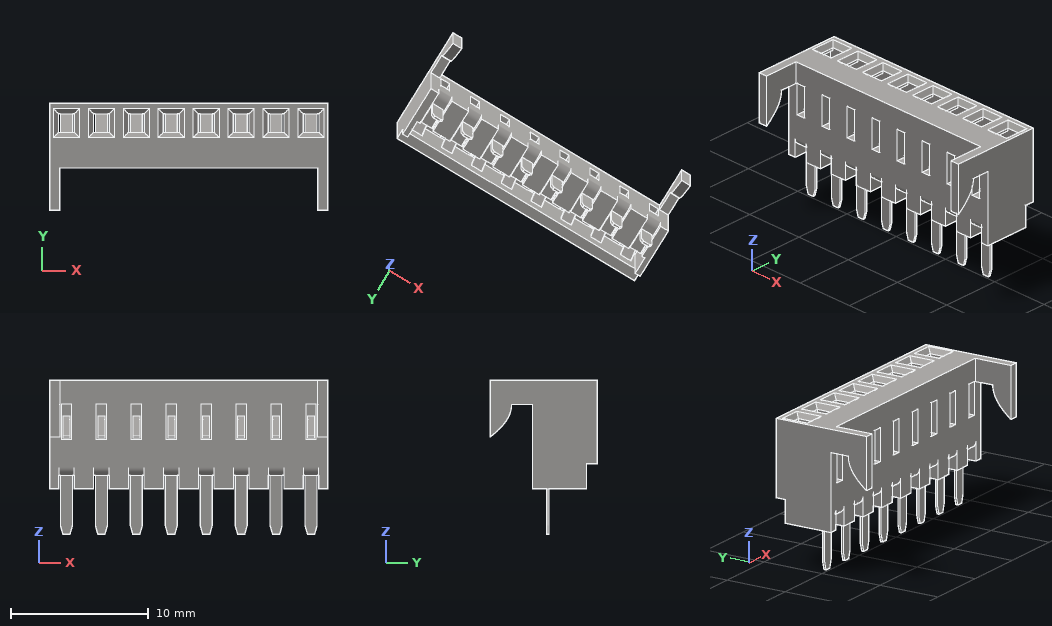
import cadquery as cq
import math

LENGTH = 20.22
BODY_DEPTH = 4.73
BODY_HEIGHT = 7.9
OVERALL_DEPTH = 7.8
OVERALL_HEIGHT = 11.22

STEP_DEPTH = 0.79
STEP_TOP_Z = -6.09

ARM_THICKNESS = 0.75
ARM_HEIGHT = 1.78
HOOK_START_Y = -6.23
HOOK_TIP_Z = -4.15

POSITIONS = 8
PITCH = 2.54

THROAT_WIDTH = 1.13
THROAT_DEPTH = 1.33
CHANNEL_REAR_Y = -STEP_DEPTH
LEAD_IN_OFFSET = 0.38
LEAD_IN_DEPTH = 0.38
CHANNEL_TOP_Z = -0.59
END_WALL = 0.42

WINDOW_WIDTH = 0.75
WINDOW_TOP_Z = -1.74
WINDOW_BOTTOM_Z = -4.33

NOTCH_WIDTH = 1.11
NOTCH_TOP_Z = -6.94
NOTCH_LIP_RADIUS = 0.55

SHEET = 0.18
CONTACT_WIDTH = 0.89
PIN_REAR_Y = -3.52
PIN_TIP_WIDTH = 0.53
PIN_TAPER_LENGTH = 0.65
PLATE_REAR_Y = CHANNEL_REAR_Y - THROAT_DEPTH
PLATE_FRONT_Y = PLATE_REAR_Y - SHEET
LEAF_TOP_Z = -1.01
LEAF_SLOPE = 62.6
LEAF_TIP_SLOPE = 67.2
LEAF_BEND_Y = -0.9
TANG_WIDTH = 0.5
TANG_TOP_Z = -2.63
TANG_DROP = 1.45
TANG_SLOPE = 38.5

CONTACT_X = [(i - (POSITIONS - 1) / 2) * PITCH for i in range(POSITIONS)]


def block(x_center, width, y_rear, y_front, z_bottom, z_top):
    """Axis-aligned box, centred in x on x_center."""
    return cq.Workplane("XY").box(
        width, y_rear - y_front, z_top - z_bottom, centered=(True, False, False)
    ).translate((x_center, y_front, z_bottom))


def make_arm(x_start):
    """Arm reaching forward, ending in a hook whose inner side is a parabola."""
    curve_start = (HOOK_START_Y, -ARM_HEIGHT)
    curve_control = (HOOK_START_Y, -(ARM_HEIGHT - HOOK_TIP_Z) / 2)
    curve_end = (-OVERALL_DEPTH, HOOK_TIP_Z)
    return (
        cq.Workplane("YZ", origin=(x_start, 0, 0))
        .moveTo(-BODY_DEPTH, 0)
        .lineTo(-BODY_DEPTH, -ARM_HEIGHT)
        .lineTo(*curve_start)
        .bezier([curve_start, curve_control, curve_end])
        .lineTo(-OVERALL_DEPTH, 0)
        .close()
        .extrude(ARM_THICKNESS)
    )


def make_entry(x):
    """Contact opening: a four-sided funnel above a short straight throat."""
    y_center = CHANNEL_REAR_Y - THROAT_DEPTH / 2
    throat = block(x, THROAT_WIDTH, CHANNEL_REAR_Y, PLATE_REAR_Y, CHANNEL_TOP_Z, 0)
    funnel = (
        cq.Workplane("XY", origin=(x, y_center, 0))
        .rect(THROAT_WIDTH + 2 * LEAD_IN_OFFSET, THROAT_DEPTH + 2 * LEAD_IN_OFFSET)
        .workplane(offset=-LEAD_IN_DEPTH)
        .rect(THROAT_WIDTH, THROAT_DEPTH)
        .loft(ruled=True)
    )
    return throat.union(funnel)


def make_window(x):
    """Front window, running back to the contact plate."""
    return block(x, WINDOW_WIDTH, PLATE_FRONT_Y, -BODY_DEPTH, WINDOW_BOTTOM_Z, WINDOW_TOP_Z)


def make_notch(x):
    """Bottom notch through the full depth, flaring up in a round lip at the front."""
    r = NOTCH_LIP_RADIUS
    diagonal = r * math.sqrt(0.5)
    return (
        cq.Workplane("YZ", origin=(x - NOTCH_WIDTH / 2, 0, 0))
        .moveTo(0, -BODY_HEIGHT)
        .lineTo(0, NOTCH_TOP_Z)
        .lineTo(r - BODY_DEPTH, NOTCH_TOP_Z)
        .threePointArc(
            (r - BODY_DEPTH - diagonal, NOTCH_TOP_Z + r - diagonal),
            (-BODY_DEPTH, NOTCH_TOP_Z + r),
        )
        .lineTo(-BODY_DEPTH, -BODY_HEIGHT)
        .close()
        .extrude(NOTCH_WIDTH)
    )


def make_strip(x):
    """Bent strip: horizontal foot, upright plate and spring leaf folded down to the rear wall."""
    leaf_drop = (LEAF_BEND_Y - PLATE_REAR_Y) * math.tan(math.radians(LEAF_SLOPE))
    tip_drop = (CHANNEL_REAR_Y - LEAF_BEND_Y) * math.tan(math.radians(LEAF_TIP_SLOPE))
    bend_z = LEAF_TOP_Z - leaf_drop
    tip_z = bend_z - tip_drop
    leaf_height = SHEET / math.cos(math.radians(LEAF_SLOPE))
    return (
        cq.Workplane("YZ", origin=(x - CONTACT_WIDTH / 2, 0, 0))
        .polyline([
            (PIN_REAR_Y, NOTCH_TOP_Z),
            (PLATE_FRONT_Y, NOTCH_TOP_Z),
            (PLATE_FRONT_Y, LEAF_TOP_Z),
            (PLATE_REAR_Y, LEAF_TOP_Z),
            (LEAF_BEND_Y, bend_z),
            (CHANNEL_REAR_Y, tip_z),
            (CHANNEL_REAR_Y, tip_z - leaf_height),
            (LEAF_BEND_Y, bend_z - leaf_height),
            (PLATE_REAR_Y, LEAF_TOP_Z - leaf_height),
            (PLATE_REAR_Y, NOTCH_TOP_Z - SHEET),
            (PIN_REAR_Y, NOTCH_TOP_Z - SHEET),
        ])
        .close()
        .extrude(CONTACT_WIDTH)
    )


def make_tang(x):
    """Locking tang: a slope from the plate down and forward to a square-cut tip."""
    slope = math.radians(TANG_SLOPE)
    tip_y = PLATE_FRONT_Y - TANG_DROP / math.tan(slope)
    tip_z = TANG_TOP_Z - TANG_DROP
    return (
        cq.Workplane("YZ", origin=(x - TANG_WIDTH / 2, 0, 0))
        .moveTo(PLATE_FRONT_Y, TANG_TOP_Z)
        .lineTo(tip_y, tip_z)
        .lineTo(tip_y + SHEET * math.sin(slope), tip_z - SHEET * math.cos(slope))
        .lineTo(PLATE_FRONT_Y, TANG_TOP_Z - SHEET / math.cos(slope))
        .close()
        .extrude(TANG_WIDTH)
    )


def make_pin(x):
    """Flat solder pin with a tapered end."""
    half_width = CONTACT_WIDTH / 2
    half_tip = PIN_TIP_WIDTH / 2
    taper_z = -OVERALL_HEIGHT + PIN_TAPER_LENGTH
    return (
        cq.Workplane("XZ", origin=(x, PIN_REAR_Y, 0))
        .polyline([
            (-half_width, NOTCH_TOP_Z),
            (half_width, NOTCH_TOP_Z),
            (half_width, taper_z),
            (half_tip, -OVERALL_HEIGHT),
            (-half_tip, -OVERALL_HEIGHT),
            (-half_width, taper_z),
        ])
        .close()
        .extrude(SHEET)
    )


housing = block(0, LENGTH, 0, -BODY_DEPTH, -BODY_HEIGHT, 0)
housing = housing.cut(block(0, LENGTH, 0, -STEP_DEPTH, -BODY_HEIGHT, STEP_TOP_Z))
channel_width = LENGTH - 2 * END_WALL
housing = housing.cut(block(0, channel_width, CHANNEL_REAR_Y, PLATE_REAR_Y, -BODY_HEIGHT, CHANNEL_TOP_Z))
for arm_x in (-LENGTH / 2, LENGTH / 2 - ARM_THICKNESS):
    housing = housing.union(make_arm(arm_x))
for x in CONTACT_X:
    housing = housing.cut(make_entry(x)).cut(make_window(x)).cut(make_notch(x))
result = housing
for x in CONTACT_X:
    result = result.union(make_strip(x)).union(make_tang(x)).union(make_pin(x))